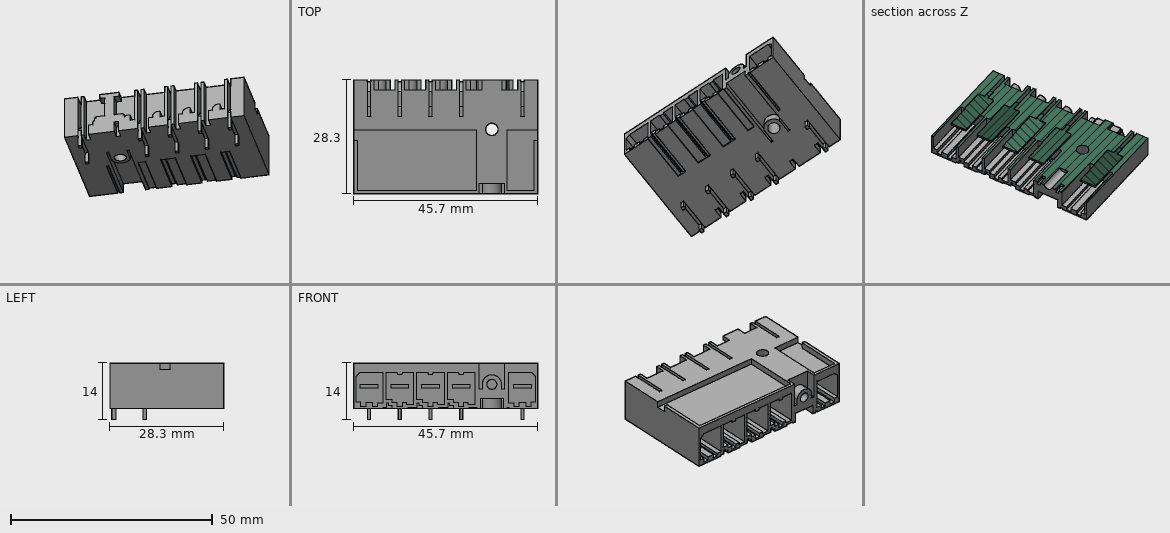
import cadquery as cq

LENGTH = 45.7
DEPTH = 28.3
HEIGHT = 11.3
CELLS = 6
PITCH = LENGTH / CELLS
CONTACT_CELLS = [0, 1, 2, 3, 5]
MIDDLE_CELLS = [1, 2, 3]
SCREW_CELL = 4

CAVITY_DEPTH = 12.8
CAVITY_TOP = 9.0
CAVITY_HALF = 3.45
END_OUTER_HALF = 3.25
END_CHAMFER = 1.0
END_OUTER_FLOOR = 1.7
END_INNER_FLOOR = 1.35
END_OUTER_GROOVE = (0.82, 2.15)
END_INNER_GROOVE = (-2.1, -0.85)
GROOVE_FLOOR = 0.6
RAIL_TOP = 1.55
MIDDLE_LEFT_FLOOR = 2.35
MIDDLE_RIGHT_FLOOR = 1.05
MIDDLE_GROOVE_HALF = 0.65
MIDDLE_RAILS = (-1.9, 1.7)
KEY_TOP_HALF = 0.7
KEY_TIP_HALF = 0.5
KEY_HEIGHT = 0.55

KEYWAY_DEPTH = CAVITY_DEPTH
KEYWAY_START = -5.62
KEYWAY_FIRST_START = -4.2
KEYWAY_STEM_START = -3.3
KEYWAY_STEM_END = -2.85
KEYWAY_END = MIDDLE_RAILS[0]
KEYWAY_LOW = 0.3
KEYWAY_STEM_TOP = 1.4
KEYWAY_LEDGE = 0.8
SCREW_KEYWAY_INNER = 3.75
SCREW_KEYWAY_RIGHT_END = 4.25

TOP_RECESS_DEPTH = 1.6
TOP_RECESS_REAR = 15.8
FRONT_WALL = 0.8
SIDE_WALL = 0.9
SIDE_WALL_REAR = 13.3

BOSS_HALF = 2.35
FLANGE_RECESS_HALF = 3.15
FLANGE_RECESS_DEPTH = 2.5
FLANGE_RECESS_FLOOR = 4.9
FLANGE_BOSS_RADIUS = 2.4
FLANGE_HOLE_Z = 6.05
FLANGE_HOLE_RADIUS = 1.25
FLANGE_HOLE_DEPTH = 7.3
BOARD_BOSS_RADIUS = 2.5
BOARD_HOLE_Y = 16.0
BOARD_HOLE_RADIUS = 1.5
BOARD_POCKET_HALF = 2.85
BOARD_POCKET_HEIGHT = 2.5

REAR_DEPTH = 2.5
REAR_START = 1.2
REAR_END = 6.4
REAR_GAP_START = 5.3
REAR_FLOOR = 2.75
RIDGE_CENTRE = 2.8
RIDGE_RADIUS = 1.55
RIDGE_START = 2.35
RIDGE_END = 4.25
PLINTH_HALF = PITCH / 2
PLINTH_TOP_HALF = 3.47
PLINTH_HEIGHT = 1.85
PLINTH_TOP_HEIGHT = 2.15
LUG_HALF = 2.45
LUG_HEIGHT = 1.15

SHEET = 0.82
SLOT_LENGTH = 9.15
CONTACT_REAR_GAP = 0.45
CONTACT_SLOPE = 2.4
CONTACT_STEP = 6.6
CONTACT_LOW_TOP = 4.1
BLADE_Z = 5.6
BLADE_WIDTH = 4.4
BLADE_TIP_Y = 6.4
PIN_LENGTH = 2.7
FRONT_PIN_DEPTH = 0.9
REAR_PIN_DEPTH = 1.1


def cell_centre(cell):
    return PITCH * (cell + 0.5)


def block(x_range, y_range, z_range):
    """Box between the given lower and upper limits."""
    low, high = zip(x_range, y_range, z_range)
    size = [b - a for a, b in zip(low, high)]
    return cq.Workplane("XY").box(*size, centered=False).translate(low)


def along_y(points, y_start, y_end):
    """Prism of an X-Z outline between two Y positions."""
    prism = cq.Workplane("XZ").polyline(points).close().extrude(y_start - y_end)
    return prism.translate((0, y_start, 0))


def rod_along_y(x, z, radius, y_start, y_end):
    rod = cq.Workplane("XZ").center(x, z).circle(radius).extrude(y_start - y_end)
    return rod.translate((0, y_start, 0))


def end_cavity(cell, outward):
    """Cavity of an end cell; outward is -1 or +1, the direction of the housing end."""
    outer_start, outer_end = END_OUTER_GROOVE
    inner_start, inner_end = END_INNER_GROOVE
    outline = [
        (-CAVITY_HALF, CAVITY_TOP),
        (END_OUTER_HALF - END_CHAMFER, CAVITY_TOP),
        (END_OUTER_HALF, CAVITY_TOP - END_CHAMFER),
        (END_OUTER_HALF, END_OUTER_FLOOR),
        (outer_end, END_OUTER_FLOOR),
        (outer_end, GROOVE_FLOOR),
        (outer_start, GROOVE_FLOOR),
        (outer_start, RAIL_TOP),
        (inner_end, RAIL_TOP),
        (inner_end, GROOVE_FLOOR),
        (inner_start, GROOVE_FLOOR),
        (inner_start, END_INNER_FLOOR),
        (-CAVITY_HALF, END_INNER_FLOOR),
    ]
    points = [(cell_centre(cell) + outward * x, z) for x, z in outline]
    return along_y(points, 0, CAVITY_DEPTH)


def middle_cavity(cell):
    """Cavity of a middle cell, with its roof key and stepped floor."""
    rail_left, rail_right = MIDDLE_RAILS
    outline = [
        (-CAVITY_HALF, CAVITY_TOP),
        (-KEY_TOP_HALF, CAVITY_TOP),
        (-KEY_TIP_HALF, CAVITY_TOP - KEY_HEIGHT),
        (KEY_TIP_HALF, CAVITY_TOP - KEY_HEIGHT),
        (KEY_TOP_HALF, CAVITY_TOP),
        (CAVITY_HALF, CAVITY_TOP),
        (CAVITY_HALF, MIDDLE_RIGHT_FLOOR),
        (rail_right, MIDDLE_RIGHT_FLOOR),
        (rail_right, RAIL_TOP),
        (MIDDLE_GROOVE_HALF, RAIL_TOP),
        (MIDDLE_GROOVE_HALF, GROOVE_FLOOR),
        (-MIDDLE_GROOVE_HALF, GROOVE_FLOOR),
        (-MIDDLE_GROOVE_HALF, RAIL_TOP),
        (rail_left, RAIL_TOP),
        (rail_left, MIDDLE_LEFT_FLOOR),
        (-CAVITY_HALF, MIDDLE_LEFT_FLOOR),
    ]
    points = [(cell_centre(cell) + x, z) for x, z in outline]
    return along_y(points, 0, CAVITY_DEPTH)


def keyway(cell):
    """Stepped groove in the underside, left of a middle cell."""
    start = KEYWAY_FIRST_START if cell == MIDDLE_CELLS[0] else KEYWAY_START
    outline = [
        (start, 0),
        (start, KEYWAY_LOW),
        (KEYWAY_STEM_START, KEYWAY_LOW),
        (KEYWAY_STEM_START, KEYWAY_STEM_TOP),
        (KEYWAY_STEM_END, KEYWAY_STEM_TOP),
        (KEYWAY_STEM_END, KEYWAY_LEDGE),
        (KEYWAY_END, KEYWAY_LEDGE),
        (KEYWAY_END, 0),
    ]
    points = [(cell_centre(cell) + x, z) for x, z in outline]
    return along_y(points, 0, KEYWAY_DEPTH)


def screw_keyway(start, end):
    """Shallow groove in the underside, beside the screw cell."""
    centre = cell_centre(SCREW_CELL)
    return block((centre + start, centre + end), (0, KEYWAY_DEPTH), (0, KEYWAY_LOW))


def top_recesses():
    """Two shallow trays in the top, open to the sides behind the side walls."""
    left_end = PITCH * SCREW_CELL
    right_start = left_end + PITCH
    tray_y = (FRONT_WALL, TOP_RECESS_REAR)
    side_y = (SIDE_WALL_REAR, TOP_RECESS_REAR)
    z_range = (HEIGHT - TOP_RECESS_DEPTH, HEIGHT)
    left_tray = block((SIDE_WALL, left_end), tray_y, z_range)
    left_tray = left_tray.union(block((0, SIDE_WALL), side_y, z_range))
    right_tray = block((right_start, LENGTH - SIDE_WALL), tray_y, z_range)
    right_tray = right_tray.union(block((LENGTH - SIDE_WALL, LENGTH), side_y, z_range))
    return left_tray, right_tray


def add_flange_mount(body):
    """Front recess with an arched boss and a blind screw hole along Y."""
    x = cell_centre(SCREW_CELL)
    y_range = (0, FLANGE_RECESS_DEPTH)
    z_range = (FLANGE_RECESS_FLOOR, HEIGHT)
    body = body.cut(block((x - FLANGE_RECESS_HALF, x + FLANGE_RECESS_HALF), y_range, z_range))
    arch = rod_along_y(x, FLANGE_HOLE_Z, FLANGE_BOSS_RADIUS, *y_range)
    legs = block((x - BOSS_HALF, x + BOSS_HALF), y_range, (FLANGE_RECESS_FLOOR, FLANGE_HOLE_Z))
    sides = block((x - BOSS_HALF, x + BOSS_HALF), y_range, z_range)
    body = body.union(arch.union(legs).intersect(sides))
    return body.cut(rod_along_y(x, FLANGE_HOLE_Z, FLANGE_HOLE_RADIUS, 0, FLANGE_HOLE_DEPTH))


def add_board_mount(body):
    """Pocket in the underside with a boss, rounded in front, and a vertical through hole."""
    x = cell_centre(SCREW_CELL)
    pocket_rear = BOARD_HOLE_Y + BOARD_POCKET_HALF
    z_range = (0, BOARD_POCKET_HEIGHT)
    body = body.cut(block((x - BOARD_POCKET_HALF, x + BOARD_POCKET_HALF), (0, pocket_rear), z_range))
    base = cq.Workplane("XY").center(x, BOARD_HOLE_Y)
    nose = base.circle(BOARD_BOSS_RADIUS).extrude(BOARD_POCKET_HEIGHT)
    web = block((x - BOSS_HALF, x + BOSS_HALF), (BOARD_HOLE_Y, pocket_rear), z_range)
    sides = block((x - BOSS_HALF, x + BOSS_HALF), (0, pocket_rear), z_range)
    body = body.union(nose.union(web).intersect(sides))
    return body.cut(base.circle(BOARD_HOLE_RADIUS).extrude(HEIGHT))


def add_rear_opening(body, cell):
    """Opening in the rear edge with a rounded ridge on its floor and a gap through the bottom."""
    x = cell_centre(cell)
    y_range = (DEPTH - REAR_DEPTH, DEPTH)
    body = body.cut(block((x + REAR_START, x + REAR_END), y_range, (REAR_FLOOR, HEIGHT)))
    body = body.cut(block((x + REAR_GAP_START, x + REAR_END), y_range, (0, REAR_FLOOR)))
    ridge = rod_along_y(x + RIDGE_CENTRE, REAR_FLOOR, RIDGE_RADIUS, *y_range)
    kept = block(
        (x + RIDGE_START, x + RIDGE_END),
        y_range,
        (REAR_FLOOR, REAR_FLOOR + RIDGE_RADIUS),
    )
    return body.union(ridge.intersect(kept))


def rear_lug():
    """Lug at the top of the rear face and the stepped plinth below it."""
    x = cell_centre(SCREW_CELL)
    y_range = (DEPTH - REAR_DEPTH, DEPTH)
    lug = block((x - LUG_HALF, x + LUG_HALF), y_range, (HEIGHT - LUG_HEIGHT, HEIGHT))
    plinth = block((x - PLINTH_HALF, x + PLINTH_HALF), y_range, (REAR_FLOOR, REAR_FLOOR + PLINTH_HEIGHT))
    step = block(
        (x - PLINTH_TOP_HALF, x + PLINTH_TOP_HALF),
        y_range,
        (REAR_FLOOR, REAR_FLOOR + PLINTH_TOP_HEIGHT),
    )
    return lug, plinth.union(step)


def contact_slot(cell):
    """Upright slot, open at the top, rear and bottom, and the passage for the blade."""
    x = cell_centre(cell)
    slot = block((x - SHEET / 2, x + SHEET / 2), (DEPTH - SLOT_LENGTH, DEPTH), (0, HEIGHT))
    return slot.union(blade(cell, CAVITY_DEPTH))


def blade(cell, y_start):
    """Flat blade from y_start back to the front end of the contact slot."""
    x = cell_centre(cell)
    return block(
        (x - BLADE_WIDTH / 2, x + BLADE_WIDTH / 2),
        (y_start, DEPTH - SLOT_LENGTH),
        (BLADE_Z - SHEET / 2, BLADE_Z + SHEET / 2),
    )


def make_housing():
    body = block((0, LENGTH), (0, DEPTH), (0, HEIGHT))
    body = body.cut(end_cavity(0, -1)).cut(end_cavity(CELLS - 1, 1))
    for cell in MIDDLE_CELLS:
        body = body.cut(middle_cavity(cell)).cut(keyway(cell))
    body = body.cut(screw_keyway(KEYWAY_START, -SCREW_KEYWAY_INNER))
    body = body.cut(screw_keyway(SCREW_KEYWAY_INNER, SCREW_KEYWAY_RIGHT_END))
    for tray in top_recesses():
        body = body.cut(tray)
    body = add_flange_mount(body)
    body = add_board_mount(body)
    for cell in range(CELLS - 1):
        body = add_rear_opening(body, cell)
    for part in rear_lug():
        body = body.union(part)
    for cell in CONTACT_CELLS:
        body = body.cut(contact_slot(cell))
    return body.solids()


def make_contact(cell):
    """Upright plate with two solder pins below and a flat blade in front."""
    rear = DEPTH - CONTACT_REAR_GAP
    front = DEPTH - SLOT_LENGTH
    step = DEPTH - CONTACT_STEP
    blade_top = BLADE_Z + SHEET / 2
    outline = [
        (front, -PIN_LENGTH),
        (front + FRONT_PIN_DEPTH, -PIN_LENGTH),
        (front + FRONT_PIN_DEPTH, 0),
        (rear - REAR_PIN_DEPTH, 0),
        (rear - REAR_PIN_DEPTH, -PIN_LENGTH),
        (rear, -PIN_LENGTH),
        (rear, CONTACT_LOW_TOP - CONTACT_SLOPE),
        (rear - CONTACT_SLOPE, CONTACT_LOW_TOP),
        (step, CONTACT_LOW_TOP),
        (step, blade_top),
        (front, blade_top),
    ]
    plate = cq.Workplane("YZ").polyline(outline).close().extrude(SHEET / 2, both=True)
    plate = plate.translate((cell_centre(cell), 0, 0))
    return plate.union(blade(cell, BLADE_TIP_Y)).solids()


housing = make_housing()
contacts = [make_contact(cell) for cell in CONTACT_CELLS]
result = cq.Compound.makeCompound([housing.val(), *[contact.val() for contact in contacts]])